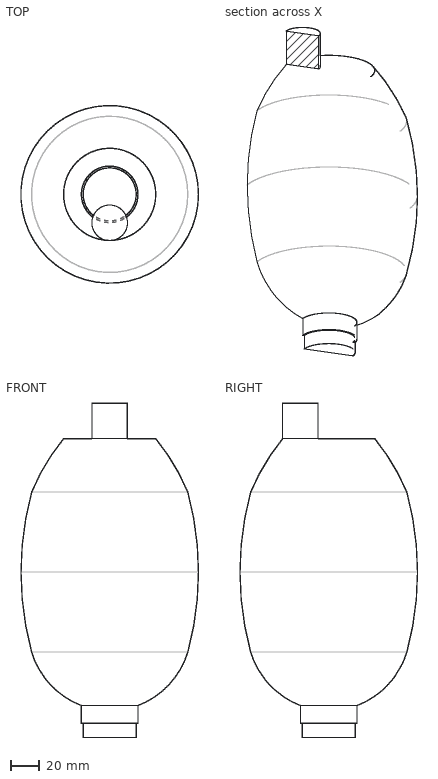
import cadquery as cq
import math

wall = 0.254

foot_height = 10.16
neck_top = 22.86
barrel_bottom = 60.96
barrel_top = 175.26
rim_height = 213.36
total_height = 238.76

foot_diameter = 38.1
neck_diameter = 40.64
barrel_end_diameter = 111.76
barrel_diameter = 127.0
rim_diameter = 66.04
post_diameter = 25.4

lower_dome_bulge = 6.0
upper_dome_bulge = 1.6

barrel_middle = (barrel_bottom + barrel_top) / 2


def bulged_middle(start, end, bulge):
    """Middle point of an arc that rises outward from the chord, going up from start to end."""
    chord_r = end[0] - start[0]
    chord_z = end[1] - start[1]
    chord = math.hypot(chord_r, chord_z)
    middle_r = (start[0] + end[0]) / 2 + bulge * chord_z / chord
    middle_z = (start[1] + end[1]) / 2 - bulge * chord_r / chord
    return (middle_r, middle_z)


def vessel_body(inset):
    """Revolved vessel shape, with its sides, ledge and floor moved inward by the inset."""
    foot_radius = foot_diameter / 2 - inset
    neck_radius = neck_diameter / 2 - inset
    barrel_end_radius = barrel_end_diameter / 2 - inset
    ledge_height = foot_height + inset
    neck_end = (neck_radius, neck_top)
    barrel_start = (barrel_end_radius, barrel_bottom)
    barrel_belly = (barrel_diameter / 2 - inset, barrel_middle)
    barrel_end = (barrel_end_radius, barrel_top)
    rim = (rim_diameter / 2 - inset, rim_height)

    barrel_sagitta = (barrel_diameter - barrel_end_diameter) / 2
    half_length = (barrel_top - barrel_bottom) / 2
    barrel_arc_radius = (half_length**2 + barrel_sagitta**2) / (2 * barrel_sagitta)
    half_barrel_bulge = barrel_arc_radius - math.sqrt(
        barrel_arc_radius**2 - (half_length**2 + barrel_sagitta**2) / 4
    )

    outline = (
        cq.Workplane("XZ")
        .moveTo(0, inset)
        .lineTo(foot_radius, inset)
        .lineTo(foot_radius, ledge_height)
        .lineTo(neck_radius, ledge_height)
        .lineTo(*neck_end)
        .threePointArc(bulged_middle(neck_end, barrel_start, lower_dome_bulge), barrel_start)
        .threePointArc(bulged_middle(barrel_start, barrel_belly, half_barrel_bulge), barrel_belly)
        .threePointArc(bulged_middle(barrel_belly, barrel_end, half_barrel_bulge), barrel_end)
        .threePointArc(bulged_middle(barrel_end, rim, upper_dome_bulge), rim)
        .lineTo(0, rim_height)
        .close()
    )
    return outline.revolve(360, (0, 0, 0), (0, 1, 0))


def rim_post():
    """Upright post standing on the rim at -Y, flush with the outer edge of the rim."""
    post_y = (post_diameter - rim_diameter) / 2
    return (
        cq.Workplane("XY", origin=(0, post_y, rim_height))
        .circle(post_diameter / 2)
        .extrude(total_height - rim_height)
    )


vessel = vessel_body(0).cut(vessel_body(wall))
result = vessel.union(rim_post())